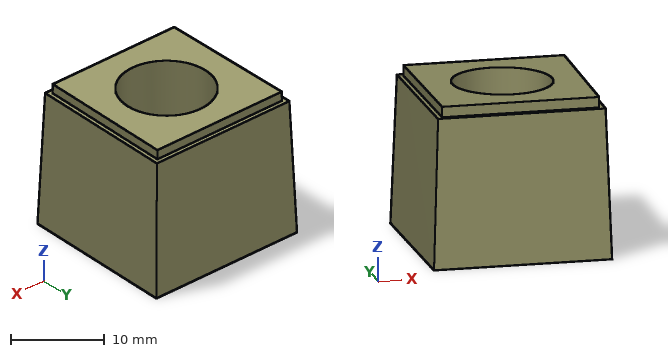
import cadquery as cq

depth = 19.5
back_width = 19.92
front_width = 19.5
total_height = 17.7
lip_height = 1.15
wall_taper = 0.58
shoulder_width = 0.58
bore_diameter = 10.92

body_height = total_height - lip_height
lip_inset = wall_taper + shoulder_width


def trapezoid(inset):
    """Corners of the base trapezoid, with every side moved inward by inset."""
    half_depth = depth / 2 - inset
    half_back = back_width / 2 - inset
    half_front = front_width / 2 - inset
    return [
        (-half_front, -half_depth),
        (half_front, -half_depth),
        (half_back, half_depth),
        (-half_back, half_depth),
    ]


body = (
    cq.Workplane("XY")
    .polyline(trapezoid(0)).close()
    .workplane(offset=body_height)
    .polyline(trapezoid(wall_taper)).close()
    .loft(ruled=True)
)

lip = (
    cq.Workplane("XY", origin=(0, 0, body_height))
    .polyline(trapezoid(lip_inset)).close()
    .extrude(lip_height)
)

bore = cq.Workplane("XY").circle(bore_diameter / 2).extrude(total_height)

result = body.union(lip).cut(bore)